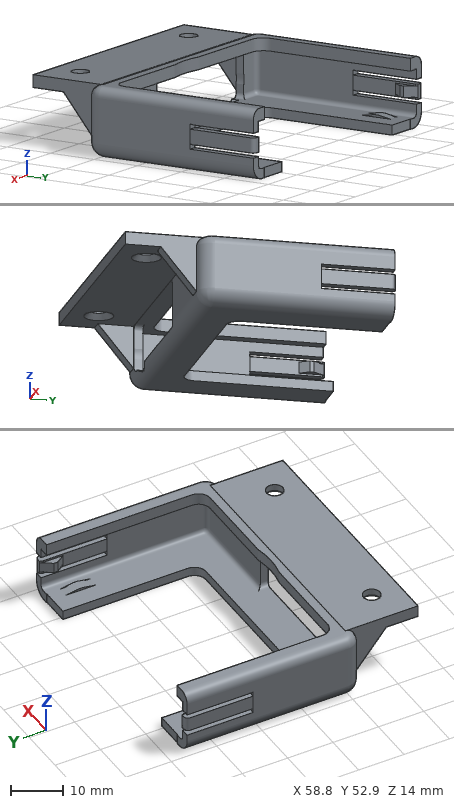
import cadquery as cq
WIDTH = 58.8
HEIGHT = 14.0
HOUSING_LENGTH = 38.6
WALL = 1.75
FLOOR = 2.0
CORNER_RADIUS = 3.0
BOTTOM_FILLET = CORNER_RADIUS
TOP_FILLET = 2.0
INNER_FILLET = 1.0
FILLET_CLEARANCE = 0.005
RAIL_WIDTH = 3.95
RAIL_THICKNESS = 2.5
OPENING_RADIUS = 2.5
FLOOR_SETBACK = 0.1

FLOOR_RIM_SIDE = 10.1
FLOOR_RIM_FRONT = 8.35

RELIEF_WIDTH = 8.25
RELIEF_DEPTH = 0.45

WINDOW_LEFT = -23.2
WINDOW_RIGHT = 7.2
WINDOW_RADIUS = 1.0
NOTCH_X = -18.65
NOTCH_RADIUS = 4.7
NOTCH_DEPTH = 0.95
NOTCH_REACH = WALL

BUMP_LENGTH = 6.45
BUMP_FLAT = 0.9
BUMP_WIDTH = 2.25
BUMP_INSET = 3.75
BUMP_HEIGHT = 0.45
BUMP_SETBACK = 3.2

FINGER_HEIGHT = 3.0
FINGER_GAP = 0.95
FINGER_SLOT_LENGTH = 14.6
FINGER_OVERHANG = 0.25
FINGER_TIP_THICKNESS = 1.5
FINGER_TIP_TAPER = 0.45
FINGER_TIP_RADIUS = 0.9
HOOK_HEIGHT = 1.3
HOOK_WIDTH = 2.25
HOOK_RAMP = 1.9
HOOK_FLAT = 0.8
HOOK_START = 9.7

FLANGE_REACH = 14.05
GUSSET_WIDTH = 2.75
GUSSET_REACH = 7.05
HOLE_DIAMETER = 3.5
HOLE_X = 18.95
HOLE_FROM_EDGE = 6.0
SINK_DIAMETER = 5.75

HALF_WIDTH = WIDTH / 2
MID_HEIGHT = HEIGHT / 2
RAIL_BOTTOM = HEIGHT - RAIL_THICKNESS
SLOT_START = HOUSING_LENGTH - FINGER_SLOT_LENGTH
SLOT_HEIGHT = FINGER_HEIGHT + 2 * FINGER_GAP
FLANGE_WIDTH = WIDTH - 2 * CORNER_RADIUS


def box(x_min, x_max, y_min, y_max, z_min, z_max):
    size = (x_max - x_min, y_max - y_min, z_max - z_min)
    return cq.Workplane("XY").box(*size, centered=False).translate((x_min, y_min, z_min))


def open_back_block(side_inset, front_inset, z_min, z_max, radius):
    """Block with rounded front corners, inset from the housing outline and reaching the back."""
    half = HALF_WIDTH - side_inset
    block = box(-half, half, front_inset, HOUSING_LENGTH, z_min, z_max)
    return block.edges("|Z and <Y").fillet(radius)


def outer_block():
    block = open_back_block(0, 0, 0, HEIGHT, CORNER_RADIUS)
    block = block.faces("<Z").edges("not >Y").fillet(BOTTOM_FILLET - FILLET_CLEARANCE)
    return block.faces(">Z").edges("not >Y").fillet(TOP_FILLET)


def cavity():
    block = open_back_block(WALL, WALL, FLOOR, RAIL_BOTTOM, INNER_FILLET)
    return block.faces("<Z").edges("not >Y").fillet(INNER_FILLET - FILLET_CLEARANCE)


def relief():
    half = RELIEF_WIDTH / 2
    return (
        cq.Workplane("XY", origin=(0, RAIL_WIDTH, RAIL_BOTTOM))
        .moveTo(-half, 0)
        .threePointArc((0, -RELIEF_DEPTH), (half, 0))
        .close()
        .extrude(RAIL_THICKNESS)
    )


def window():
    opening = box(WINDOW_LEFT, WINDOW_RIGHT, 0, WALL + INNER_FILLET, FLOOR, RAIL_BOTTOM)
    return opening.edges("|Y").fillet(WINDOW_RADIUS)


def sill_notch():
    axis_height = FLOOR - NOTCH_DEPTH + NOTCH_RADIUS
    return (
        cq.Workplane("XZ", origin=(NOTCH_X, 0, axis_height))
        .circle(NOTCH_RADIUS)
        .extrude(-NOTCH_REACH)
    )


def floor_bump(side):
    y_back = HOUSING_LENGTH - BUMP_SETBACK
    ramp = (BUMP_LENGTH - BUMP_FLAT) / 2
    x_inner = HALF_WIDTH - BUMP_INSET - BUMP_WIDTH
    bump = (
        cq.Workplane("YZ", origin=(x_inner, 0, FLOOR))
        .moveTo(y_back - BUMP_LENGTH, 0)
        .lineTo(y_back - BUMP_LENGTH + ramp, BUMP_HEIGHT)
        .lineTo(y_back - ramp, BUMP_HEIGHT)
        .lineTo(y_back, 0)
        .close()
        .extrude(BUMP_WIDTH)
    )
    return bump if side > 0 else bump.mirror("YZ")


def make_housing():
    housing = outer_block().cut(cavity())
    housing = housing.cut(open_back_block(RAIL_WIDTH, RAIL_WIDTH, RAIL_BOTTOM, HEIGHT, OPENING_RADIUS))
    housing = housing.cut(relief())
    housing = housing.cut(open_back_block(FLOOR_RIM_SIDE, FLOOR_RIM_FRONT, 0, FLOOR, OPENING_RADIUS))
    half = HALF_WIDTH - RAIL_WIDTH
    housing = housing.cut(box(-half, half, HOUSING_LENGTH - FLOOR_SETBACK, HOUSING_LENGTH, 0, FLOOR))
    housing = housing.cut(window()).cut(sill_notch())
    slot_bottom = MID_HEIGHT - SLOT_HEIGHT / 2
    for x_min in (-HALF_WIDTH, HALF_WIDTH - WALL):
        slot = box(x_min, x_min + WALL, SLOT_START, HOUSING_LENGTH, slot_bottom, slot_bottom + SLOT_HEIGHT)
        housing = housing.cut(slot)
    for side in (-1, 1):
        housing = housing.union(floor_bump(side))
    return housing


def centred_plate(outline, thickness):
    """Extrude an XY outline to the given thickness, centred on the mid height."""
    return outline.extrude(thickness / 2, both=True).translate((0, 0, MID_HEIGHT))


def make_finger(side):
    tip = HOUSING_LENGTH + FINGER_OVERHANG
    inner = HALF_WIDTH - WALL
    tip_inner = HALF_WIDTH - FINGER_TIP_THICKNESS
    blade = (
        cq.Workplane("XY")
        .moveTo(HALF_WIDTH, SLOT_START)
        .lineTo(HALF_WIDTH, tip)
        .lineTo(tip_inner, tip)
        .lineTo(inner, tip - FINGER_TIP_TAPER)
        .lineTo(inner, SLOT_START)
        .close()
    )
    blade = centred_plate(blade, FINGER_HEIGHT).edges("|Z and >Y and >X").fillet(FINGER_TIP_RADIUS)
    hook_y = SLOT_START + HOOK_START
    flat_y = hook_y + HOOK_RAMP
    hook = (
        cq.Workplane("XY")
        .moveTo(inner, hook_y)
        .lineTo(inner - HOOK_HEIGHT, flat_y)
        .lineTo(inner - HOOK_HEIGHT, flat_y + HOOK_FLAT)
        .lineTo(tip_inner, tip)
        .lineTo(tip_inner, hook_y)
        .close()
    )
    finger = blade.union(centred_plate(hook, HOOK_WIDTH))
    return finger if side > 0 else finger.mirror("YZ")


def gusset(x_min):
    return (
        cq.Workplane("YZ", origin=(x_min, 0, 0))
        .moveTo(0, BOTTOM_FILLET)
        .lineTo(0, RAIL_BOTTOM)
        .lineTo(-GUSSET_REACH, RAIL_BOTTOM)
        .close()
        .extrude(GUSSET_WIDTH)
    )


def countersunk_hole(x):
    """Cutter for one screw hole with a 90 degree countersink in the underside of the flange."""
    radius = HOLE_DIAMETER / 2
    sink_radius = SINK_DIAMETER / 2
    sink_top = RAIL_BOTTOM + sink_radius - radius
    return (
        cq.Workplane("XZ")
        .moveTo(0, RAIL_BOTTOM)
        .lineTo(sink_radius, RAIL_BOTTOM)
        .lineTo(radius, sink_top)
        .lineTo(radius, HEIGHT)
        .lineTo(0, HEIGHT)
        .close()
        .revolve(360, (0, 0), (0, 1))
        .translate((x, HOLE_FROM_EDGE - FLANGE_REACH, 0))
    )


def make_mount():
    half = FLANGE_WIDTH / 2
    mount = box(-half, half, -FLANGE_REACH, TOP_FILLET, RAIL_BOTTOM, HEIGHT).cut(outer_block())
    for x_min in (-half, half - GUSSET_WIDTH):
        mount = mount.union(gusset(x_min))
    for x in (-HOLE_X, HOLE_X):
        mount = mount.cut(countersunk_hole(x))
    return mount


housing = make_housing()
mount = make_mount()
fingers = [make_finger(side) for side in (-1, 1)]

result = cq.Compound.makeCompound([housing.val(), mount.val(), *[finger.val() for finger in fingers]])